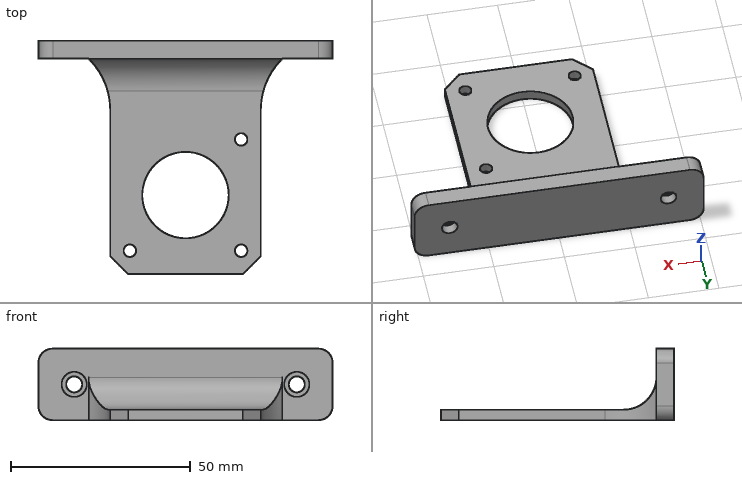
import cadquery as cq
import math

flange_width = 82.0
flange_height = 20.0
flange_thickness = 5.0
flange_corner_radius = 4.0

screw_spacing = 62.0
screw_diameter = 4.4
screw_head_diameter = 7.0
screw_head_depth = 2.0

plate_width = 42.0
plate_thickness = 3.0
bracket_depth = 65.0
front_chamfer = 5.0

pilot_diameter = 24.0
pilot_to_front_edge = 22.0
bolt_spacing = 31.0
bolt_diameter = 3.4

top_fillet_radius = 9.0

flare_size = 6.0
flare_radius = 20.0

flange_front_y = -flange_thickness
plate_front_y = -bracket_depth
pilot_y = plate_front_y + pilot_to_front_edge
half_plate = plate_width / 2
blend_height = plate_thickness + top_fillet_radius


def make_flange():
    """Upright plate with its four corners rounded."""
    return (
        cq.Workplane("XY")
        .box(flange_width, flange_thickness, flange_height, centered=(True, False, False))
        .translate((0, flange_front_y, 0))
        .edges("|Y")
        .fillet(flange_corner_radius)
    )


def make_plate_outline():
    """Plate seen from above, as tall as the blend: flared at the back, chamfered in front."""
    flare_corner_y = flange_front_y - flare_size
    flare_end_x = half_plate + flare_size
    chamfer_x = half_plate - front_chamfer
    chamfer_y = plate_front_y + front_chamfer
    right_side = [
        (chamfer_x, plate_front_y),
        (half_plate, chamfer_y),
        (half_plate, flare_corner_y),
        (flare_end_x, flange_front_y),
    ]
    left_side = [(-x, y) for x, y in reversed(right_side)]
    plate = cq.Workplane("XY").polyline(right_side + left_side).close().extrude(blend_height)
    for corner_x in (-half_plate, half_plate):
        corner_point = (corner_x, flare_corner_y, blend_height / 2)
        plate = plate.edges(cq.NearestToPointSelector(corner_point)).fillet(flare_radius)
    return plate


def make_side_profile():
    """Plate and top fillet seen from the side, spanning the full flange width."""
    fillet_end_y = flange_front_y - top_fillet_radius
    arc_mid = top_fillet_radius * (1 - math.sqrt(0.5))
    return (
        cq.Workplane("YZ")
        .moveTo(flange_front_y, 0)
        .lineTo(flange_front_y, blend_height)
        .threePointArc(
            (flange_front_y - arc_mid, plate_thickness + arc_mid),
            (fillet_end_y, plate_thickness),
        )
        .lineTo(plate_front_y, plate_thickness)
        .lineTo(plate_front_y, 0)
        .close()
        .extrude(flange_width / 2, both=True)
    )


def cut_screw_holes(body):
    """Counterbored holes through the flange, heads on the plate side."""
    half_spacing = screw_spacing / 2
    return (
        body.copyWorkplane(cq.Workplane("XZ", origin=(0, flange_front_y, flange_height / 2)))
        .pushPoints([(-half_spacing, 0), (half_spacing, 0)])
        .cboreHole(screw_diameter, screw_head_diameter, screw_head_depth, flange_thickness)
    )


def cut_motor_holes(body):
    """Pilot hole and three bolt holes; the back left corner of the square has none."""
    half_spacing = bolt_spacing / 2
    bolt_points = [
        (-half_spacing, -half_spacing),
        (half_spacing, -half_spacing),
        (half_spacing, half_spacing),
    ]
    plate_plane = cq.Workplane("XY", origin=(0, pilot_y, 0))
    pilot = plate_plane.circle(pilot_diameter / 2).extrude(plate_thickness)
    bolts = plate_plane.pushPoints(bolt_points).circle(bolt_diameter / 2).extrude(plate_thickness)
    return body.cut(pilot).cut(bolts)


motor_plate = make_plate_outline().intersect(make_side_profile())
bracket = make_flange().union(motor_plate)
bracket = cut_screw_holes(bracket)
result = cut_motor_holes(bracket)